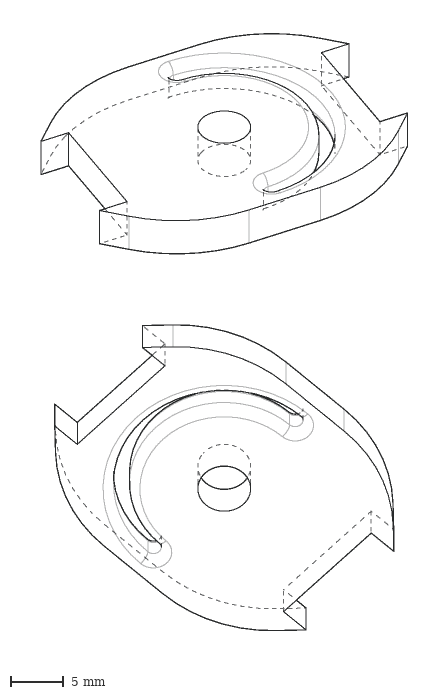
import cadquery as cq
import math

width = 25.0
length = 33.0
thickness = 4.0

bar_width = 12.08
bar_length = 27.05

corner_radius = 14.98
tip_angle = math.radians(45)

hole_diameter = 5.0
slot_radius = 9.77
slot_width = 1.52
slot_fillet = 1.0


def make_cheek():
    """Side cheek on +X, with pointed ends at its inner edge."""
    inner_x = bar_width / 2
    outer_x = width / 2
    tip_y = length / 2
    arc_center_x = outer_x - corner_radius
    arc_end_x = arc_center_x + corner_radius * math.cos(tip_angle)
    arc_end_y = tip_y - (arc_end_x - inner_x) / math.tan(tip_angle)
    arc_center_y = arc_end_y - corner_radius * math.sin(tip_angle)
    arc_mid_x = arc_center_x + corner_radius * math.cos(tip_angle / 2)
    arc_mid_y = arc_center_y + corner_radius * math.sin(tip_angle / 2)
    return (
        cq.Workplane("XY")
        .moveTo(inner_x, -tip_y)
        .lineTo(arc_end_x, -arc_end_y)
        .threePointArc((arc_mid_x, -arc_mid_y), (outer_x, -arc_center_y))
        .lineTo(outer_x, arc_center_y)
        .threePointArc((arc_mid_x, arc_mid_y), (arc_end_x, arc_end_y))
        .lineTo(inner_x, tip_y)
        .close()
        .extrude(thickness)
    )


def make_slot():
    """Half-ring cutter with round ends."""
    inner = slot_radius - slot_width / 2
    outer = slot_radius + slot_width / 2
    end_y = -slot_width / 2
    return (
        cq.Workplane("XY")
        .moveTo(-outer, 0)
        .threePointArc((0, outer), (outer, 0))
        .threePointArc((slot_radius, end_y), (inner, 0))
        .threePointArc((0, inner), (-inner, 0))
        .threePointArc((-slot_radius, end_y), (-outer, 0))
        .close()
        .extrude(thickness)
    )


def round_slot_rims(body):
    """Round the slot edges on both the top and bottom faces."""
    reach = slot_radius + slot_width
    slot_zone = cq.selectors.BoxSelector(
        (-reach, -reach, -slot_width),
        (reach, reach, thickness + slot_width),
        boundingbox=True,
    )
    return body.faces(">Z or <Z").edges(slot_zone).fillet(slot_fillet)


cheek = make_cheek()
bar = cq.Workplane("XY").rect(bar_width, bar_length).extrude(thickness)
body = bar.union(cheek).union(cheek.mirror("YZ")).clean()
body = round_slot_rims(body.cut(make_slot()))

hole = cq.Workplane("XY").circle(hole_diameter / 2).extrude(thickness)
result = body.cut(hole)